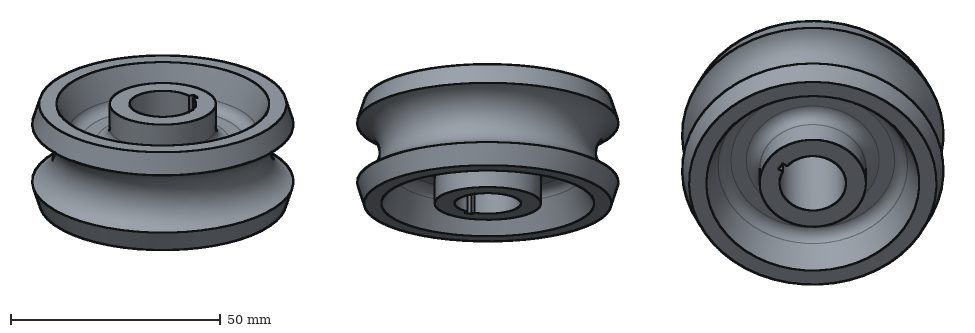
import cadquery as cq
import math

outer_radius = 31.2
width = 25.4
half_width = width / 2
rim_face_radius = 29.5

groove_half_width = 7.4
groove_bottom_radius = 25.85

hub_radius = 12.7
bore_radius = 7.9
keyway_width = 1.9
keyway_reach = 9.1

half_web = 3.2
recess_mouth_radius = 25.4
recess_floor_radius = 19.55
recess_fillet = 3.2
wall_tangent_radius = 22.6


def make_rim_and_web():
    """Revolve the grooved wheel as a solid disc, without recesses or bore."""
    profile = (
        cq.Workplane("XZ")
        .moveTo(0, -half_width)
        .lineTo(rim_face_radius, -half_width)
        .lineTo(outer_radius, -groove_half_width)
        .threePointArc((groove_bottom_radius, 0), (outer_radius, groove_half_width))
        .lineTo(rim_face_radius, half_width)
        .lineTo(0, half_width)
        .close()
    )
    return profile.revolve(360, (0, 0, 0), (0, 1, 0))


def make_recess():
    """Revolve the upper ring recess, filleted at the hub and at the rim wall."""
    fillet_center_z = half_web + recess_fillet
    wall_angle = math.acos((wall_tangent_radius - recess_floor_radius) / recess_fillet)
    wall_tangent_z = fillet_center_z - recess_fillet * math.sin(wall_angle)

    hub_mid_offset = recess_fillet * (1 - math.sqrt(0.5))
    wall_mid_angle = (math.pi / 2 + wall_angle) / 2
    wall_mid = (
        recess_floor_radius + recess_fillet * math.cos(wall_mid_angle),
        fillet_center_z - recess_fillet * math.sin(wall_mid_angle),
    )
    profile = (
        cq.Workplane("XZ")
        .moveTo(hub_radius, half_width)
        .lineTo(hub_radius, fillet_center_z)
        .threePointArc(
            (hub_radius + hub_mid_offset, half_web + hub_mid_offset),
            (hub_radius + recess_fillet, half_web),
        )
        .lineTo(recess_floor_radius, half_web)
        .threePointArc(wall_mid, (wall_tangent_radius, wall_tangent_z))
        .lineTo(recess_mouth_radius, half_width)
        .close()
    )
    return profile.revolve(360, (0, 0, 0), (0, 1, 0))


def make_bore():
    """Through bore with its keyway on the +Y side."""
    bore = cq.Workplane("XY").circle(bore_radius).extrude(half_width, both=True)
    keyway = (
        cq.Workplane("XY")
        .center(0, keyway_reach / 2)
        .rect(keyway_width, keyway_reach)
        .extrude(half_width, both=True)
    )
    return bore.union(keyway)


recess = make_recess()
result = make_rim_and_web().cut(recess).cut(recess.mirror("XY")).cut(make_bore())